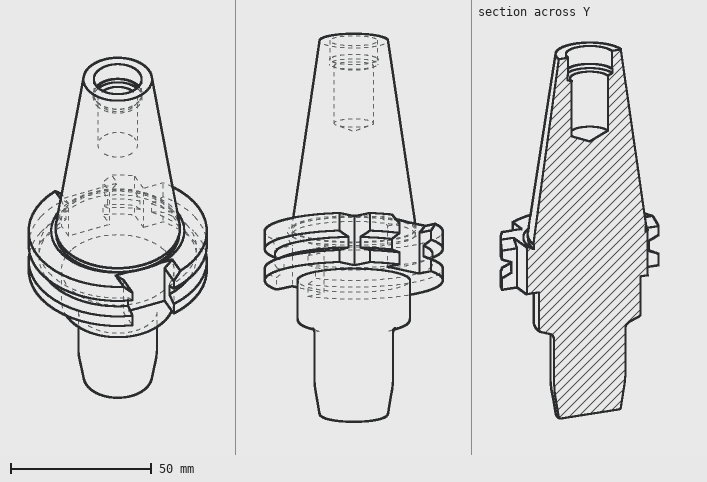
import cadquery as cq
import math

total_height = 136.2
taper_length = 68.4
taper_diameter = 44.4
taper_ratio = 7 / 24
neck_diameter = 43.9
neck_chamfer_height = 0.4

flange_diameter = 63.5
flange_top = -1.0
flange_bottom = -18.8
relief_diameter = 47.4
relief_depth = 1.1

groove_diameter = 56.1
groove_center = -10.9
groove_floor_width = 3.8
groove_mouth_width = 7.1

slot_half_width = 8.0
slot_chamfer = 3.0
slot_floors = {-1: 24.8, 1: 22.8}
corner_notch_offset = 18.3

shoulder_diameter = 40.0
shoulder_length = 14.9
shoulder_slope = math.radians(20)
shoulder_fillet = 1.2
nose_diameter = 28.0
nose_root_fillet = 2.5
nose_cone_top = -56.5
nose_cone_angle = math.radians(9.5)
nose_blend_radius = 19.6
nose_tip_fillet = 1.0

bore_diameter = 17.0
bore_depth = 6.8
drill_diameter = 14.0
undercut_diameter = 17.5
undercut_width = 1.6
drill_depth = 30.0
drill_tip_angle = math.radians(67)

part_bottom = taper_length - total_height
taper_top_radius = (taper_diameter - taper_length * taper_ratio) / 2
shoulder_radius = shoulder_diameter / 2
nose_radius = nose_diameter / 2
shoulder_bottom = flange_bottom - shoulder_length
nose_top = shoulder_bottom - (shoulder_radius - nose_radius) * math.tan(shoulder_slope)
nose_tip_radius = nose_radius - (nose_cone_top - part_bottom) * math.tan(nose_cone_angle)


def revolve(profile):
    """Turn a closed (radius, height) outline about the Z axis."""
    return cq.Workplane("XZ").polyline(profile).close().revolve(360, (0, 0), (0, 1))


def fillet_rim(body, radius, height, fillet):
    """Round the circular edge that lies at the given radius and height."""
    margin = 0.1
    box = cq.selectors.BoxSelector(
        (-radius - margin, -radius - margin, height - margin),
        (radius + margin, radius + margin, height + margin),
        boundingbox=True,
    )
    return body.edges(box).fillet(fillet)


def make_shank():
    """Taper, neck, shoulder and nose as one turned body."""
    neck_radius = neck_diameter / 2
    shank = revolve([
        (0, taper_length),
        (taper_top_radius, taper_length),
        (taper_diameter / 2, 0),
        (neck_radius, -neck_chamfer_height),
        (neck_radius, flange_bottom),
        (shoulder_radius, flange_bottom),
        (shoulder_radius, shoulder_bottom),
        (nose_radius, nose_top),
        (nose_radius, nose_cone_top),
        (nose_tip_radius, part_bottom),
        (0, part_bottom),
    ])
    shank = fillet_rim(shank, shoulder_radius, shoulder_bottom, shoulder_fillet)
    shank = fillet_rim(shank, nose_radius, nose_top, nose_root_fillet)
    shank = fillet_rim(shank, nose_radius, nose_cone_top, nose_blend_radius)
    return fillet_rim(shank, nose_tip_radius, part_bottom, nose_tip_fillet)


def make_flange():
    """Gripper flange with its V-groove and the relief around the neck."""
    rim = flange_diameter / 2
    root = groove_diameter / 2
    return revolve([
        (0, flange_top - relief_depth),
        (neck_diameter / 2, flange_top - relief_depth),
        (relief_diameter / 2, flange_top),
        (rim, flange_top),
        (rim, groove_center + groove_mouth_width / 2),
        (root, groove_center + groove_floor_width / 2),
        (root, groove_center - groove_floor_width / 2),
        (rim, groove_center - groove_mouth_width / 2),
        (rim, flange_bottom),
        (0, flange_bottom),
    ])


def make_drive_slot(side, floor):
    """Cutter for a drive slot with chamfered top edges."""
    mouth = slot_half_width + slot_chamfer
    outline = [
        (-slot_half_width, flange_bottom),
        (slot_half_width, flange_bottom),
        (slot_half_width, flange_top - slot_chamfer),
        (mouth, flange_top),
        (-mouth, flange_top),
        (-slot_half_width, flange_top - slot_chamfer),
    ]
    reach = flange_diameter / 2
    return cq.Workplane("YZ", origin=(side * floor, 0, 0)).polyline(outline).close().extrude(side * reach)


def make_corner_notch():
    """Cutter for the square orientation notch in the -X +Y corner."""
    size = flange_diameter / 2
    return cq.Workplane("XY").box(size, size, flange_top - flange_bottom, centered=False).translate(
        (-corner_notch_offset - size, corner_notch_offset, flange_bottom)
    )


def make_bore():
    """Cutter for the stepped blind hole in the small end of the taper."""
    bore_radius = bore_diameter / 2
    drill_radius = drill_diameter / 2
    undercut_radius = undercut_diameter / 2
    undercut_top = taper_length - bore_depth
    undercut_floor = undercut_top - undercut_width
    floor_drop = (undercut_radius - drill_radius) / math.tan(drill_tip_angle)
    drill_floor = taper_length - drill_depth
    return revolve([
        (0, taper_length),
        (bore_radius, taper_length),
        (bore_radius, undercut_top),
        (undercut_radius, undercut_top),
        (undercut_radius, undercut_floor),
        (drill_radius, undercut_floor - floor_drop),
        (drill_radius, drill_floor),
        (0, drill_floor - drill_radius / math.tan(drill_tip_angle)),
    ])


flange = make_flange().cut(make_corner_notch())
for slot_side, slot_floor in slot_floors.items():
    flange = flange.cut(make_drive_slot(slot_side, slot_floor))

result = make_shank().union(flange).cut(make_bore())